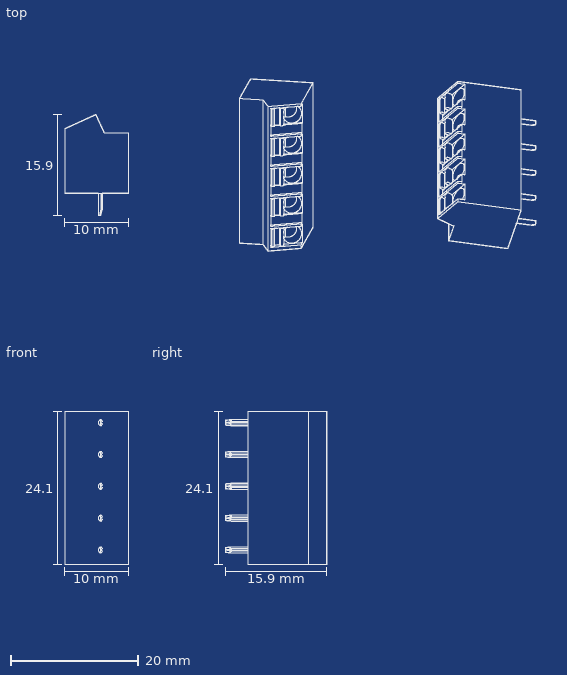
import cadquery as cq
import math


POLE_COUNT = 5
PITCH = 5.0

WIDTH = 10.0
HEIGHT = 24.1
LEFT_DEPTH = 10.17
RIGHT_DEPTH = 9.5
PEAK_X = 4.87
PEAK_Y = 12.4
NOTCH_X = 6.21
SLOPE_LENGTH = math.hypot(PEAK_X, PEAK_Y - LEFT_DEPTH)
SLOPE_ANGLE = math.atan2(PEAK_Y - LEFT_DEPTH, PEAK_X)

POCKET_BASE_Z = 0.6
POCKET_HEIGHT = 3.1
POCKET_DEPTH = 1.0
POCKET_END = 4.92
SHALLOW_HEIGHT = 1.5
SHALLOW_DEPTH = 0.62

BUTTON_FRONT = 2.75
BUTTON_GAP = 0.2
BUTTON_SIDE_GAP = 0.1
BUTTON_EDGE_RADIUS = 0.17
FRONT_RIB_WIDTH = 0.6
REAR_RIB_WIDTH = 0.43
GROOVE_DEPTH = 0.55

FUNNEL_POSITION = 1.18
FUNNEL_DIAMETER = 3.0
FUNNEL_DEPTH = 0.86
CONE_LENGTH = 1.5
CONE_HALF_ANGLE = math.radians(8)
CLAMP_LEAN = math.radians(33)
CLAMP_EDGE_INSET = 0.05

PIN_LEFT_X = 5.28
PIN_FIRST_Z = 2.32
PIN_THICKNESS = 0.6
PIN_WIDTH = 1.0
PIN_LENGTH = 3.5
PIN_TAPER_LENGTH = 1.0
PIN_TIP_THICKNESS = 0.32
PIN_TIP_WIDTH = 0.78
PIN_EMBED = 1.0
PIN_ARC_THICKNESS = 0.22
PIN_ARC_WIDTH = 0.84
PIN_CREST_THICKNESS = 0.39
PIN_NOTCH_WIDTH = 0.4
PIN_NOTCH_THICKNESS = 0.34


def slope_plane(z):
    """Plane normal to Z: local x runs up the slanted face, local y points out of it."""
    direction = (math.cos(SLOPE_ANGLE), math.sin(SLOPE_ANGLE), 0)
    return cq.Workplane(cq.Plane(origin=(0, LEFT_DEPTH, z), xDir=direction, normal=(0, 0, 1)))


def make_housing():
    outline = [
        (0, 0),
        (WIDTH, 0),
        (WIDTH, RIGHT_DEPTH),
        (NOTCH_X, RIGHT_DEPTH),
        (PEAK_X, PEAK_Y),
        (0, LEFT_DEPTH),
    ]
    return cq.Workplane("XY").polyline(outline).close().extrude(HEIGHT)


def make_pocket(z, height, depth):
    """Cutter reaching past the left side and above the slanted face."""
    overrun = SLOPE_LENGTH
    return (
        slope_plane(z)
        .moveTo(-overrun, -depth)
        .lineTo(POCKET_END, -depth)
        .lineTo(POCKET_END, overrun)
        .lineTo(-overrun, overrun)
        .close()
        .extrude(height)
    )


def make_button(z):
    """Block with two ribs across its top, each rounded on the edge facing down the slope."""
    radius = BUTTON_EDGE_RADIUS
    back = POCKET_END - BUTTON_GAP
    groove_start = BUTTON_FRONT + FRONT_RIB_WIDTH
    groove_end = back - REAR_RIB_WIDTH
    bend = radius * (1 - math.sqrt(0.5))
    return (
        slope_plane(z + BUTTON_SIDE_GAP)
        .moveTo(BUTTON_FRONT, -POCKET_DEPTH)
        .lineTo(BUTTON_FRONT, -radius)
        .threePointArc((BUTTON_FRONT + bend, -bend), (BUTTON_FRONT + radius, 0))
        .lineTo(groove_start, 0)
        .lineTo(groove_start, -GROOVE_DEPTH)
        .lineTo(groove_end, -GROOVE_DEPTH)
        .lineTo(groove_end, -radius)
        .threePointArc((groove_end + bend, -bend), (groove_end + radius, 0))
        .lineTo(back, 0)
        .lineTo(back, -POCKET_DEPTH)
        .close()
        .extrude(POCKET_HEIGHT - 2 * BUTTON_SIDE_GAP)
    )


def make_funnel(z):
    """Round wire entry with a tapered bottom, partly closed by a flat clamp leaning across it."""
    radius = FUNNEL_DIAMETER / 2
    end_radius = radius - CONE_LENGTH * math.tan(CONE_HALF_ANGLE)
    cone_start = -POCKET_DEPTH - FUNNEL_DEPTH
    cone_end = cone_start - CONE_LENGTH
    entry = (
        slope_plane(z + POCKET_HEIGHT / 2)
        .moveTo(FUNNEL_POSITION, -POCKET_DEPTH)
        .lineTo(FUNNEL_POSITION + radius, -POCKET_DEPTH)
        .lineTo(FUNNEL_POSITION + radius, cone_start)
        .lineTo(FUNNEL_POSITION + end_radius, cone_end)
        .lineTo(FUNNEL_POSITION, cone_end)
        .close()
        .revolve(360, (FUNNEL_POSITION, 0), (FUNNEL_POSITION, 1))
    )
    clamp_top = FUNNEL_POSITION + radius - CLAMP_EDGE_INSET
    clamp_bottom = clamp_top - CONE_LENGTH * math.tan(CLAMP_LEAN)
    clamp_back = FUNNEL_POSITION + FUNNEL_DIAMETER
    clamp = (
        slope_plane(z)
        .moveTo(clamp_top, cone_start)
        .lineTo(clamp_bottom, cone_end)
        .lineTo(clamp_back, cone_end)
        .lineTo(clamp_back, cone_start)
        .close()
        .extrude(POCKET_HEIGHT)
    )
    return entry.cut(clamp)


def make_pin_shank(z):
    """Full-length pin with an arc on the left of its section and a V notch on the right."""
    half_width = PIN_WIDTH / 2
    return (
        cq.Workplane("XZ", origin=(PIN_LEFT_X, PIN_EMBED, z))
        .moveTo(PIN_ARC_THICKNESS, -PIN_ARC_WIDTH / 2)
        .threePointArc((0, 0), (PIN_ARC_THICKNESS, PIN_ARC_WIDTH / 2))
        .lineTo(PIN_CREST_THICKNESS, half_width)
        .lineTo(PIN_THICKNESS, PIN_NOTCH_WIDTH / 2)
        .lineTo(PIN_NOTCH_THICKNESS, 0)
        .lineTo(PIN_THICKNESS, -PIN_NOTCH_WIDTH / 2)
        .lineTo(PIN_CREST_THICKNESS, -half_width)
        .close()
        .extrude(PIN_EMBED + PIN_LENGTH)
    )


def make_pin(z):
    """Pin tapered at the tip on its right, upper and lower sides; the left side stays straight."""
    shoulder_y = PIN_TAPER_LENGTH - PIN_LENGTH
    half_width = PIN_WIDTH / 2
    side_envelope = (
        cq.Workplane("XY", origin=(PIN_LEFT_X, 0, z - half_width))
        .moveTo(0, PIN_EMBED)
        .lineTo(0, -PIN_LENGTH)
        .lineTo(PIN_TIP_THICKNESS, -PIN_LENGTH)
        .lineTo(PIN_THICKNESS, shoulder_y)
        .lineTo(PIN_THICKNESS, PIN_EMBED)
        .close()
        .extrude(PIN_WIDTH)
    )
    width_envelope = (
        cq.Workplane("YZ", origin=(PIN_LEFT_X, 0, z))
        .moveTo(PIN_EMBED, half_width)
        .lineTo(shoulder_y, half_width)
        .lineTo(-PIN_LENGTH, PIN_TIP_WIDTH / 2)
        .lineTo(-PIN_LENGTH, -PIN_TIP_WIDTH / 2)
        .lineTo(shoulder_y, -half_width)
        .lineTo(PIN_EMBED, -half_width)
        .close()
        .extrude(PIN_THICKNESS)
    )
    return make_pin_shank(z).intersect(side_envelope).intersect(width_envelope)


result = make_housing()

for pole in range(POLE_COUNT):
    pocket_z = POCKET_BASE_Z + pole * PITCH
    result = result.cut(make_pocket(pocket_z, POCKET_HEIGHT, POCKET_DEPTH))
    result = result.cut(make_funnel(pocket_z))
    result = result.union(make_button(pocket_z))
    result = result.union(make_pin(PIN_FIRST_Z + pole * PITCH))

for pole in range(1, POLE_COUNT):
    shallow_z = POCKET_BASE_Z + pole * PITCH - SHALLOW_HEIGHT
    result = result.cut(make_pocket(shallow_z, SHALLOW_HEIGHT, SHALLOW_DEPTH))